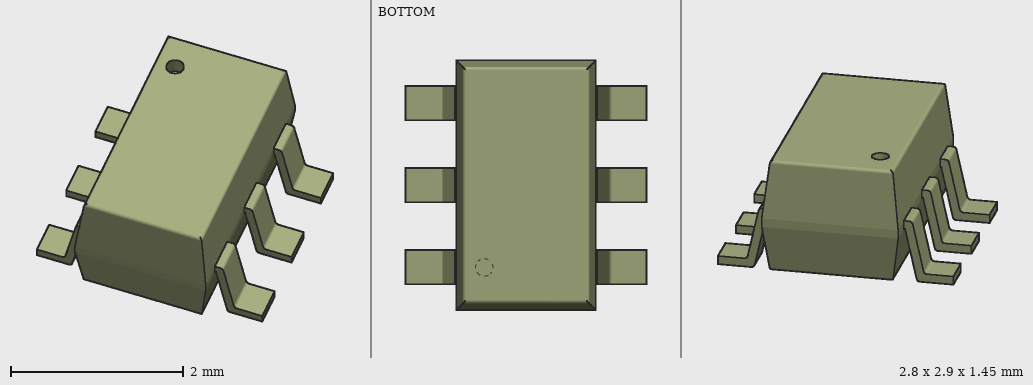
import cadquery as cq
import math

LEAD_THICKNESS = 0.105

BODY_WIDTH = 1.625
BODY_LENGTH = 2.9
BODY_BOTTOM = 0.075
BODY_TOP = 1.45
BELT_TOP = 0.75
BELT_BOTTOM = BELT_TOP - LEAD_THICKNESS
TAPER_INSET = 0.08
RIM_RADIUS = 0.04

DIMPLE_DIAMETER = 0.203
DIMPLE_DEPTH = DIMPLE_DIAMETER
DIMPLE_X = -0.487

LEAD_SPAN = 2.8
LEAD_WIDTH = 0.4
LEAD_PITCH = 0.95
LEADS_PER_SIDE = 3
END_ROW_Y = (LEADS_PER_SIDE - 1) / 2 * LEAD_PITCH
SHOULDER_X = 0.91
LEG_ANGLE = 12.5
BEND_RADIUS = 0.044


def tapered_block(start_z, end_z):
    """Block that narrows by the taper inset from the belt outline to its end face."""
    height = abs(end_z - start_z)
    direction = math.copysign(1, end_z - start_z)
    taper_angle = math.degrees(math.atan(TAPER_INSET / height))
    plane = cq.Plane(origin=(0, 0, start_z), xDir=(1, 0, 0), normal=(0, 0, direction))
    return cq.Workplane(plane).rect(BODY_WIDTH, BODY_LENGTH).extrude(height, taper=taper_angle)


def make_housing():
    """Belt, cap and base in one solid, with rounded rims and the pin-one dimple."""
    belt = (
        cq.Workplane("XY", origin=(0, 0, BELT_BOTTOM))
        .rect(BODY_WIDTH, BODY_LENGTH)
        .extrude(LEAD_THICKNESS)
    )
    cap = tapered_block(BELT_TOP, BODY_TOP)
    base = tapered_block(BELT_BOTTOM, BODY_BOTTOM)
    body = belt.union(cap).union(base)
    body = body.faces(">Z or <Z").edges().fillet(RIM_RADIUS)
    dimple = (
        cq.Workplane("XY", origin=(DIMPLE_X, END_ROW_Y, BODY_TOP))
        .circle(DIMPLE_DIAMETER / 2)
        .extrude(-DIMPLE_DEPTH)
    )
    return body.cut(dimple)


def make_lead(row_y, turn):
    """One lead, drawn on the +X side and turned about Z to its own side."""
    lean = math.tan(math.radians(LEG_ANGLE))
    miter = LEAD_THICKNESS * math.tan(math.radians(90 - LEG_ANGLE) / 2)
    root_x = BODY_WIDTH / 2
    foot_top = LEAD_THICKNESS
    toe_x = LEAD_SPAN / 2
    ankle_x = SHOULDER_X + (BELT_TOP - foot_top) * lean
    profile = [
        (root_x, BELT_TOP),
        (SHOULDER_X, BELT_TOP),
        (ankle_x, foot_top),
        (toe_x, foot_top),
        (toe_x, 0),
        (ankle_x - miter, 0),
        (SHOULDER_X - miter, BELT_BOTTOM),
        (root_x, BELT_BOTTOM),
    ]
    lead = cq.Workplane("XZ").polyline(profile).close().extrude(LEAD_WIDTH / 2, both=True)
    shoulder_edge = cq.selectors.NearestToPointSelector((SHOULDER_X, 0, BELT_TOP))
    ankle_edge = cq.selectors.NearestToPointSelector((ankle_x, 0, foot_top))
    heel_edge = cq.selectors.NearestToPointSelector((ankle_x - miter, 0, 0))
    bend_edges = shoulder_edge + ankle_edge + heel_edge
    lead = lead.edges("|Y").edges(bend_edges).fillet(BEND_RADIUS)
    return lead.rotate((0, 0, 0), (0, 0, 1), turn).translate((0, row_y, 0))


housing = make_housing()

leads = []
for turn in (0, 180):
    for row in range(LEADS_PER_SIDE):
        row_y = row * LEAD_PITCH - END_ROW_Y
        leads.append(make_lead(row_y, turn))

result = cq.Compound.makeCompound([housing.val(), *[lead.val() for lead in leads]])